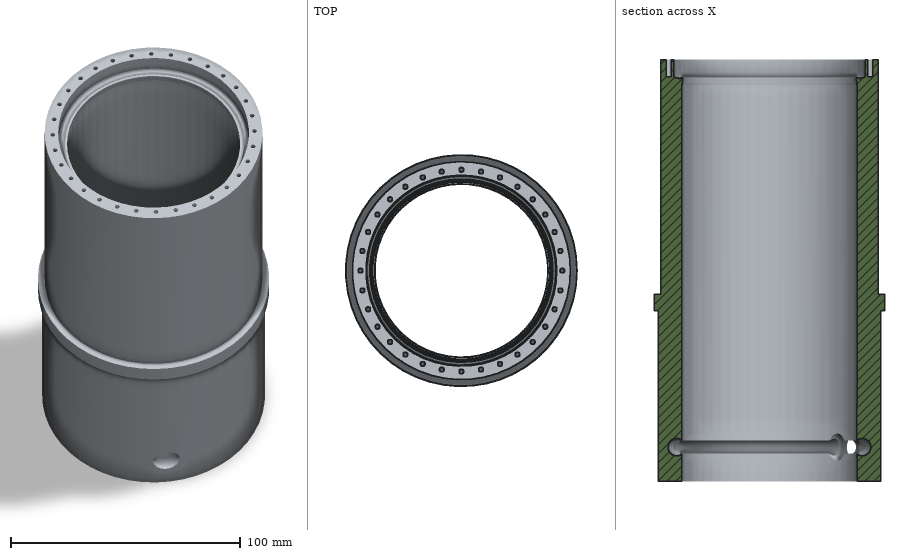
import cadquery as cq
import math

total_height = 184.3
collar_bottom = 74.7
collar_top = 82.0

upper_radius = 47.5
collar_radius = 50.5
lower_radius = 48.7

recess_radius = 41.7
recess_depth = 7.7
lip_radius = 37.8
lip_straight_height = 0.5
lip_taper_height = 2.8
bore_radius = 38.2

recess_corner_chamfer = 0.4

groove_inner_radius = 38.7
groove_outer_radius = 40.0
groove_depth = 0.7

rim_hole_count = 32
rim_hole_circle_radius = 44.0
rim_hole_diameter = 2.0
rim_hole_depth = 7.4

side_hole_height = 15.1
side_hole_angle = 39.0
side_hole_diameter = 11.8

channel_center_radius = 40.5
channel_profile_radius = 3.7


def sleeve():
    """Revolve the wall section, given as (radius, height) points, about Z."""
    recess_floor = total_height - recess_depth
    groove_middle_radius = (groove_inner_radius + groove_outer_radius) / 2
    lip_edge = recess_floor - lip_straight_height
    lip_bottom = lip_edge - lip_taper_height
    section = [
        (bore_radius, 0),
        (lower_radius, 0),
        (lower_radius, collar_bottom),
        (collar_radius, collar_bottom),
        (collar_radius, collar_top),
        (upper_radius, collar_top),
        (upper_radius, total_height),
        (recess_radius, total_height),
        (recess_radius, recess_floor + recess_corner_chamfer),
        (recess_radius - recess_corner_chamfer, recess_floor),
        (groove_outer_radius, recess_floor),
        (groove_middle_radius, recess_floor - groove_depth),
        (groove_inner_radius, recess_floor),
        (lip_radius, recess_floor),
        (lip_radius, lip_edge),
        (bore_radius, lip_bottom),
    ]
    return cq.Workplane("XZ").polyline(section).close().revolve(360, (0, 0, 0), (0, 1, 0))


def rim_holes():
    """Cutters for the holes spaced evenly around the top rim."""
    return (
        cq.Workplane("XY")
        .workplane(offset=total_height)
        .polarArray(rim_hole_circle_radius, 0, 360, rim_hole_count)
        .circle(rim_hole_diameter / 2)
        .extrude(-rim_hole_depth)
    )


def side_hole():
    """Cutter for the radial hole, running from the axis out through the wall."""
    angle = math.radians(side_hole_angle)
    outward = (math.sin(angle), -math.cos(angle), 0)
    axis_plane = cq.Plane(origin=(0, 0, side_hole_height), xDir=(0, 0, 1), normal=outward)
    return cq.Workplane(axis_plane).circle(side_hole_diameter / 2).extrude(collar_radius)


def ring_channel():
    """Cutter for the channel: a circle swept around Z at the height of the radial hole."""
    return (
        cq.Workplane("XZ")
        .center(channel_center_radius, side_hole_height)
        .circle(channel_profile_radius)
        .revolve(360, (-channel_center_radius, 0, 0), (-channel_center_radius, 1, 0))
    )


result = sleeve().cut(rim_holes()).cut(ring_channel()).cut(side_hole())